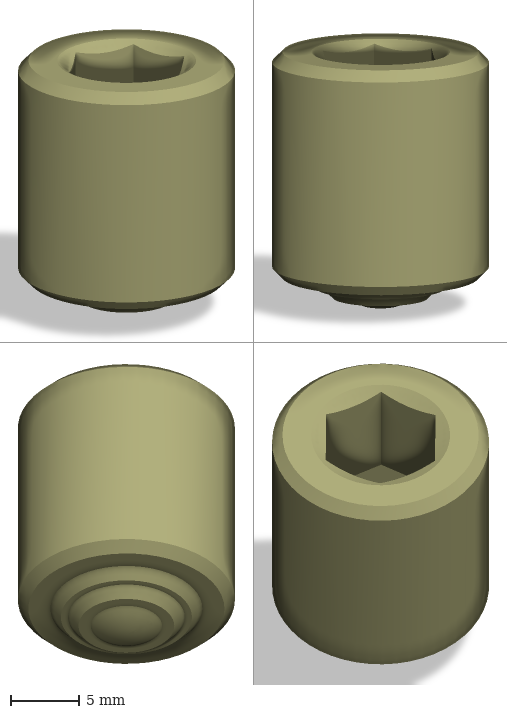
import cadquery as cq
import math

total_height = 19.05
body_radius = 15.89 / 2
step_height = 0.76

upper_collar_radius = 5.56
lower_collar_radius = 4.27

cap_rim_radius = 2.61

hex_across_flats = 8.0
socket_depth = 8.0
countersink_radius = 10.17 / 2
countersink_slope = 30.0

lower_collar_bottom = step_height
upper_collar_bottom = lower_collar_bottom + step_height
body_bottom = upper_collar_bottom + step_height


def make_body():
    return (
        cq.Workplane("XY")
        .workplane(offset=body_bottom)
        .circle(body_radius)
        .extrude(total_height - body_bottom)
        .faces("<Z or >Z")
        .chamfer(step_height)
    )


def make_collar(top_radius, bottom):
    cone = cq.Solid.makeCone(top_radius - step_height, top_radius, step_height, pnt=cq.Vector(0, 0, bottom))
    return cq.Workplane(obj=cone)


def make_ball_cap():
    ball_radius = (cap_rim_radius**2 + step_height**2) / (2 * step_height)
    mid_radius = cap_rim_radius / 2
    mid_height = ball_radius - math.sqrt(ball_radius**2 - mid_radius**2)
    return (
        cq.Workplane("XZ")
        .moveTo(0, 0)
        .threePointArc((mid_radius, mid_height), (cap_rim_radius, step_height))
        .lineTo(0, step_height)
        .close()
        .revolve(360, (0, 0, 0), (0, 1, 0))
    )


def make_hex_socket():
    across_corners = hex_across_flats / math.cos(math.radians(30))
    return (
        cq.Workplane("XY")
        .workplane(offset=total_height - socket_depth)
        .transformed(rotate=(0, 0, 90))
        .polygon(6, across_corners)
        .extrude(socket_depth)
    )


def make_countersink():
    inner_radius = hex_across_flats / 4
    depth = (countersink_radius - inner_radius) * math.tan(math.radians(countersink_slope))
    cone = cq.Solid.makeCone(
        inner_radius, countersink_radius, depth, pnt=cq.Vector(0, 0, total_height - depth)
    )
    return cq.Workplane(obj=cone)


result = (
    make_body()
    .union(make_collar(upper_collar_radius, upper_collar_bottom))
    .union(make_collar(lower_collar_radius, lower_collar_bottom))
    .union(make_ball_cap())
    .cut(make_hex_socket())
    .cut(make_countersink())
)